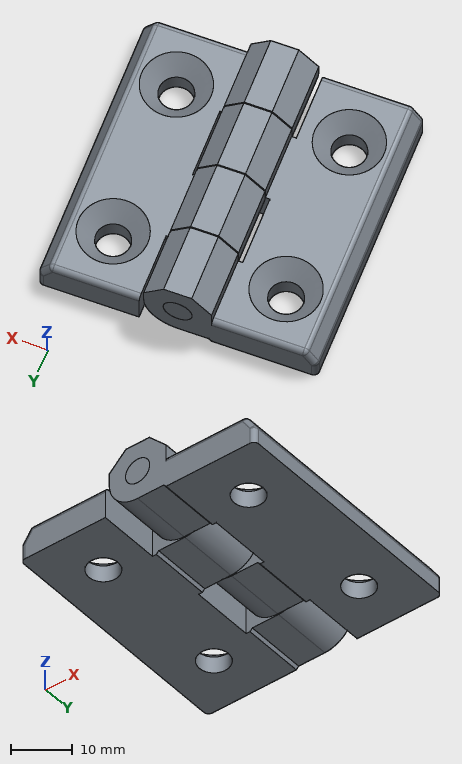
import cadquery as cq
import math

hinge_length = 49.0
half_width = 24.2
overall_height = 12.3

knuckle_radius = 5.9
axis_height = overall_height - knuckle_radius
octagon_half_flat = knuckle_radius * math.tan(math.pi / 8)
underside_height = axis_height - knuckle_radius
relief_chamfer_width = 0.5
knuckle_count = 4
knuckle_gap = 0.2
knuckle_pitch = hinge_length / knuckle_count

plate_thickness = axis_height
bevel_width = 2.0
bevel_height = 3.0
edge_radius = 1.0
slot_edge_x = 6.65

hole_diameter = 6.0
countersink_diameter = 12.05
countersink_angle = 90.0
hole_x = 15.0
hole_spacing_y = 28.9

pin_diameter = 5.0


def extrude_along_hinge(outline, y_start, y_end):
    """Extrude a closed XZ outline from y_start to y_end."""
    return outline.extrude(y_start - y_end).translate((0, y_start, 0))


def make_plate():
    """Right-hand plate with a beveled outer side and rounded outer edges."""
    outline = (
        cq.Workplane("XZ")
        .moveTo(knuckle_radius, 0)
        .lineTo(half_width, 0)
        .lineTo(half_width, plate_thickness - bevel_height)
        .lineTo(half_width - bevel_width, plate_thickness)
        .lineTo(knuckle_radius, plate_thickness)
        .close()
    )
    plate = extrude_along_hinge(outline, -hinge_length / 2, hinge_length / 2)
    return plate.edges("not(<Z or <X)").fillet(edge_radius)


def make_knuckle(y_start, y_end):
    """Knuckle with the web that joins it to the right-hand plate."""
    r = knuckle_radius
    outline = (
        cq.Workplane("XZ")
        .moveTo(r, 0)
        .lineTo(r, axis_height + octagon_half_flat)
        .lineTo(octagon_half_flat, overall_height)
        .lineTo(-octagon_half_flat, overall_height)
        .lineTo(-r, axis_height + octagon_half_flat)
        .lineTo(-r, axis_height)
        .radiusArc((0, underside_height), -r)
        .lineTo(r - relief_chamfer_width, underside_height)
        .close()
    )
    return extrude_along_hinge(outline, y_start, y_end)


def make_pin():
    """Plain pin running the whole length of the hinge."""
    outline = cq.Workplane("XZ").center(0, axis_height).circle(pin_diameter / 2)
    return extrude_along_hinge(outline, -hinge_length / 2, hinge_length / 2)


def make_slot(y_start, y_end):
    """Cutter that clears the plate edge beside a knuckle of the other leaf."""
    outline = (
        cq.Workplane("XZ")
        .moveTo(knuckle_radius, 0)
        .lineTo(slot_edge_x, 0)
        .lineTo(slot_edge_x, plate_thickness)
        .lineTo(knuckle_radius, plate_thickness)
        .close()
    )
    return extrude_along_hinge(outline, y_start, y_end)


def drill_holes(leaf):
    """Two countersunk through holes near the outer side of the leaf."""
    hole_centers = [(hole_x, -hole_spacing_y / 2), (hole_x, hole_spacing_y / 2)]
    return (
        leaf.copyWorkplane(cq.Workplane("XY", origin=(0, 0, plate_thickness)))
        .pushPoints(hole_centers)
        .cskHole(hole_diameter, countersink_diameter, countersink_angle, depth=plate_thickness)
    )


def make_leaf():
    """Right-hand leaf: bored knuckles and slots alternate, from a knuckle at the -Y end."""
    leaf = make_plate()
    half_length = hinge_length / 2
    for index in range(0, knuckle_count, 2):
        low_joint = index * knuckle_pitch - half_length
        middle_joint = low_joint + knuckle_pitch
        high_joint = middle_joint + knuckle_pitch
        knuckle_start = low_joint if index == 0 else low_joint + knuckle_gap / 2
        knuckle_end = middle_joint - knuckle_gap / 2
        slot_end = high_joint + knuckle_gap / 2
        leaf = leaf.union(make_knuckle(knuckle_start, knuckle_end))
        leaf = leaf.cut(make_slot(knuckle_end, slot_end))
    return drill_holes(leaf.cut(make_pin()))


right_leaf = make_leaf()
left_leaf = right_leaf.rotate((0, 0, 0), (0, 0, 1), 180)
pin = make_pin()

result = cq.Compound.makeCompound([right_leaf.val(), left_leaf.val(), pin.val()])